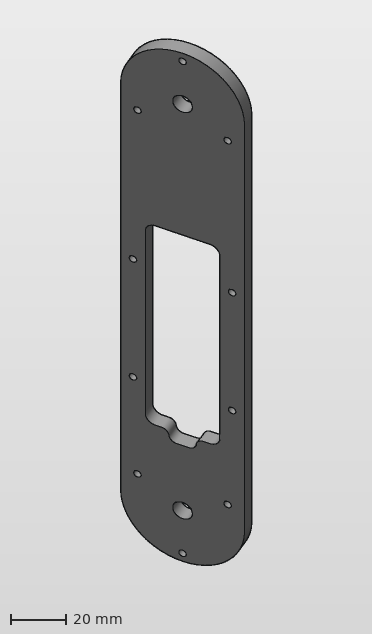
import cadquery as cq
import math

PLATE_WIDTH = 50.0
PLATE_LENGTH = 250.0
PLATE_THICKNESS = 6.0
END_CENTRE_Z = (PLATE_LENGTH - PLATE_WIDTH) / 2

PIVOT_HOLE_DIAMETER = 7.9
SCREW_HOLE_DIAMETER = 3.0
SCREW_CIRCLE_RADIUS = 21.0
SCREW_ANGLES = (90, 210, 330)

WINDOW_WIDTH = 30.0
WINDOW_LENGTH = 98.0
WINDOW_CENTRE_Z = -13.5
WINDOW_CORNER_RADIUS = 4.0
SIDE_SCREW_SPACING_X = 40.0
SIDE_SCREW_SPACING_Z = 58.0

NOTCH_WIDTH = 11.0
NOTCH_DEPTH = 5.5
NOTCH_RADIUS = 3.0


def xz_plane():
    """Workplane on the front face (Y = 0), with its normal toward -Y."""
    return cq.Workplane("XZ")


def through_plate(outline):
    """Extrude an outline from the front face to the back face, toward +Y."""
    return outline.extrude(-PLATE_THICKNESS)


def make_plate():
    return through_plate(xz_plane().slot2D(PLATE_LENGTH, PLATE_WIDTH, 90))


def make_holes(points, diameter):
    return through_plate(xz_plane().pushPoints(points).circle(diameter / 2))


def end_screw_points():
    """Three screws around each end centre, mirrored between the two ends."""
    points = []
    for end in (1, -1):
        for angle in SCREW_ANGLES:
            x = SCREW_CIRCLE_RADIUS * math.cos(math.radians(angle))
            z = END_CENTRE_Z + SCREW_CIRCLE_RADIUS * math.sin(math.radians(angle))
            points.append((x, end * z))
    return points


def side_screw_points():
    """Two screws on each side of the window."""
    points = []
    for side in (1, -1):
        for end in (1, -1):
            x = side * SIDE_SCREW_SPACING_X / 2
            z = WINDOW_CENTRE_Z + end * SIDE_SCREW_SPACING_Z / 2
            points.append((x, z))
    return points


def make_window():
    window = through_plate(xz_plane().center(0, WINDOW_CENTRE_Z).rect(WINDOW_WIDTH, WINDOW_LENGTH))
    return window.edges("|Y").fillet(WINDOW_CORNER_RADIUS)


def make_notch():
    """Notch whose S-shaped sides are a lip arc and a floor arc of equal radius, tangent to each other."""
    top_z = WINDOW_CENTRE_Z - WINDOW_LENGTH / 2
    floor_z = top_z - NOTCH_DEPTH
    arc_drop = NOTCH_DEPTH / 2
    arc_span = math.sqrt(NOTCH_RADIUS**2 - (NOTCH_RADIUS - arc_drop) ** 2)
    middle_x = NOTCH_WIDTH / 2
    middle_z = top_z - arc_drop
    lip_x = middle_x + arc_span
    floor_x = middle_x - arc_span
    outline = (
        xz_plane()
        .moveTo(-lip_x, top_z)
        .lineTo(lip_x, top_z)
        .radiusArc((middle_x, middle_z), -NOTCH_RADIUS)
        .radiusArc((floor_x, floor_z), NOTCH_RADIUS)
        .lineTo(-floor_x, floor_z)
        .radiusArc((-middle_x, middle_z), NOTCH_RADIUS)
        .radiusArc((-lip_x, top_z), -NOTCH_RADIUS)
        .close()
    )
    return through_plate(outline)


pivot_points = [(0, END_CENTRE_Z), (0, -END_CENTRE_Z)]
screw_points = end_screw_points() + side_screw_points()

result = (
    make_plate()
    .cut(make_window())
    .cut(make_notch())
    .cut(make_holes(pivot_points, PIVOT_HOLE_DIAMETER))
    .cut(make_holes(screw_points, SCREW_HOLE_DIAMETER))
)